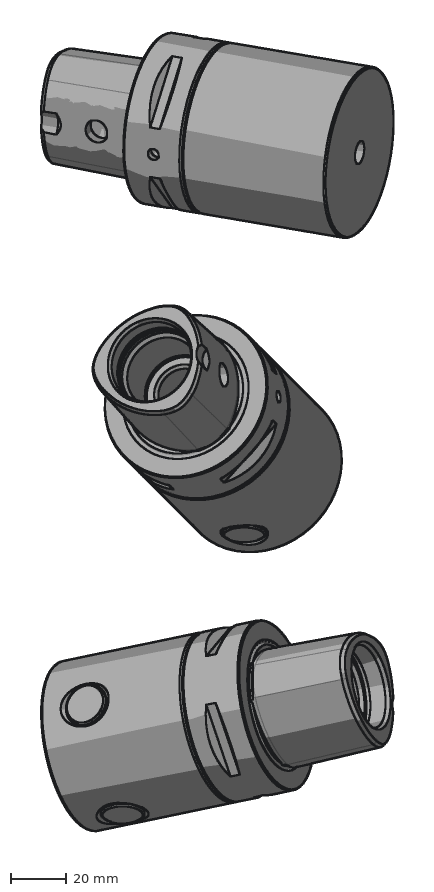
import cadquery as cq
import math

total_length = 118.0
flange_radius = 31.5

shank_length = 38.0
shank_root_x = shank_length + 1.2
taper_end_x = 36.1
shank_mean_radius = 22.1
lobe_swing = 3.0
lobe_height = lobe_swing / 2
taper_slope = 1 / 40
lobe_count = 3
lobe_half_angle = 28.0
nose_chamfer_length = 1.5
nose_chamfer_height = 1.0

neck_radius = 22.5
collar_radius = 22.3
collar_thickness = 0.4
relief_outer_radius = 24.3
relief_depth = 0.5

flange_chamfer_length = 0.6
flange_chamfer_height = 0.4
end_chamfer_length = 0.7
end_chamfer_height = 0.5
v_groove_x = 61.1
v_groove_half_width = 0.8
v_groove_depth = 0.5

bore_mouth_radius = 16.3
bore_mouth_depth = 1.5
bore_entry_radius = 15.3
ring_groove_start = 7.7
ring_groove_end = 9.7
ring_groove_radius = 16.3
land_chamfer = 0.2
land_end_depth = 12.0
bore_radius = 13.8
bore_neck_depth = 13.8
bore_floor_chamfer = 0.6
bore_depth = 33.0
inner_mouth_radius = 10.4
inner_hole_radius = 9.2
inner_hole_depth = 47.2
coolant_hole_radius = 4.2
inner_cone_half_angle = 59.0

slot_count = 4
slot_x = 50.0
slot_floor_radius = 28.1
slot_floor_width = 3.8
slot_side_angle = 30.0

wall_hole_x = 22.7
wall_hole_radius = 8.6 / 2
wall_hole_tip_y = -13.9
wall_hole_half_angle = 70.0
index_hole_radius = 2.1
index_hole_tip_y = -27.1
index_hole_half_angle = 59.0

notch_radius = 6.1
notch_floor_y = -17.9
notch_length = 6.5
notch_half_angle = 45.0

screw_x = 100.2
screw_radius = 8.0
screw_length = 18.9
screw_top_radius = 31.3
screw_bottom_radius = screw_top_radius - screw_length
screw_chamfer = 0.7
countersink_radius = 9.7
screw_angles = [-90, 180]


def revolved(points):
    """Solid swept by an (x, radius) outline turned around the tool axis."""
    outline = cq.Workplane("XZ").polyline(points).close()
    return outline.revolve(360, (0, 0, 0), (1, 0, 0))


def drilled(radius, depth_to_tip, half_angle):
    """Drill-shaped cutter pointing along +Y from the origin: a cylinder that ends in a cone."""
    straight = depth_to_tip - radius / math.tan(math.radians(half_angle))
    outline = cq.Workplane("XY").polyline([(0, 0), (radius, 0), (radius, straight), (0, depth_to_tip)])
    return outline.close().revolve(360, (0, 0, 0), (0, 1, 0))


def lobed_point(x, mean_radius, angle):
    """Point of the lobed outline whose outward normal has the given angle from +Y."""
    support = mean_radius + lobe_height * math.cos(lobe_count * angle)
    shift = -lobe_count * lobe_height * math.sin(lobe_count * angle)
    y = support * math.cos(angle) - shift * math.sin(angle)
    z = support * math.sin(angle) + shift * math.cos(angle)
    return cq.Vector(x, y, z)


def lobed_edge(x, mean_radius, start, end):
    """Smooth stretch of the lobed outline between two normal angles."""
    steps = 6
    angles = [start + (end - start) * i / steps for i in range(steps + 1)]
    tangents = [cq.Vector(0, -math.sin(a), math.cos(a)) for a in (start, end)]
    return cq.Edge.makeSpline([lobed_point(x, mean_radius, a) for a in angles], tangents=tangents)


def lobed_wire(x, mean_radius):
    """Closed outline of constant width: alternating lobes and flats, centred on the tool axis."""
    pitch = 2 * math.pi / lobe_count
    half = math.radians(lobe_half_angle)
    edges = []
    for i in range(lobe_count):
        lobe = i * pitch
        edges.append(lobed_edge(x, mean_radius, lobe - half, lobe + half))
        edges.append(lobed_edge(x, mean_radius, lobe + half, lobe + pitch - half))
    return cq.Wire.assembleEdges(edges)


def shank():
    nose_radius = shank_mean_radius - taper_slope * (taper_end_x - nose_chamfer_length)
    sections = [
        lobed_wire(0, nose_radius - nose_chamfer_height),
        lobed_wire(nose_chamfer_length, nose_radius),
        lobed_wire(taper_end_x, shank_mean_radius),
        lobed_wire(shank_root_x, shank_mean_radius),
    ]
    blank = cq.Workplane(obj=cq.Solid.makeLoft(sections, True))
    lobe_radius = shank_mean_radius + lobe_height
    shoulder_end_x = taper_end_x + lobe_radius - neck_radius
    return blank.intersect(revolved([
        (0, 0),
        (0, lobe_radius),
        (taper_end_x, lobe_radius),
        (shoulder_end_x, neck_radius),
        (shank_root_x, neck_radius),
        (shank_root_x, 0),
    ]))


def flange_and_body():
    """Turned body: collar, round relief groove in the flange face, V-groove and chamfered ends."""
    collar_front = shank_length - collar_thickness
    relief_bottom = (shank_length + relief_depth, (collar_radius + relief_outer_radius) / 2)
    outline = cq.Workplane("XZ").moveTo(collar_front, 0).lineTo(collar_front, collar_radius)
    outline = outline.threePointArc(relief_bottom, (shank_length, relief_outer_radius))
    for x, radius in [
        (shank_length, flange_radius - flange_chamfer_height),
        (shank_length + flange_chamfer_length, flange_radius),
        (v_groove_x - v_groove_half_width, flange_radius),
        (v_groove_x, flange_radius - v_groove_depth),
        (v_groove_x + v_groove_half_width, flange_radius),
        (total_length - end_chamfer_length, flange_radius),
        (total_length, flange_radius - end_chamfer_height),
        (total_length, 0),
    ]:
        outline = outline.lineTo(x, radius)
    return outline.close().revolve(360, (0, 0, 0), (1, 0, 0))


def stepped_bore():
    land_radius = bore_entry_radius - land_chamfer
    inner_mouth_depth = bore_depth + inner_mouth_radius - inner_hole_radius
    cone_length = (inner_hole_radius - coolant_hole_radius) / math.tan(math.radians(inner_cone_half_angle))
    return revolved([
        (0, 0),
        (0, bore_mouth_radius),
        (bore_mouth_depth, bore_entry_radius),
        (ring_groove_start, bore_entry_radius),
        (ring_groove_start, ring_groove_radius),
        (ring_groove_end, ring_groove_radius),
        (ring_groove_end, bore_entry_radius),
        (ring_groove_end + land_chamfer, land_radius),
        (land_end_depth, land_radius),
        (bore_neck_depth, bore_radius),
        (bore_depth - bore_floor_chamfer, bore_radius),
        (bore_depth, bore_radius - bore_floor_chamfer),
        (bore_depth, inner_mouth_radius),
        (inner_mouth_depth, inner_hole_radius),
        (inner_hole_depth, inner_hole_radius),
        (inner_hole_depth + cone_length, coolant_hole_radius),
        (total_length, coolant_hole_radius),
        (total_length, 0),
    ])


def gripper_slot(angle):
    """Trapezoidal cutter with a flat floor, square to the radius at the given angle around X."""
    depth = flange_radius - slot_floor_radius
    half_floor = slot_floor_width / 2
    half_top = half_floor + depth * math.tan(math.radians(slot_side_angle))
    outline = cq.Workplane("XZ").polyline([
        (slot_x - half_floor, slot_floor_radius),
        (slot_x + half_floor, slot_floor_radius),
        (slot_x + half_top, flange_radius),
        (slot_x - half_top, flange_radius),
    ])
    slot = outline.close().extrude(flange_radius, both=True)
    return slot.rotate((0, 0, 0), (1, 0, 0), angle)


def side_hole(x, radius, tip_y, half_angle):
    """Blind drilled hole from the -Y side."""
    drill = drilled(radius, tip_y + flange_radius, half_angle)
    return drill.translate((x, -flange_radius, 0))


def end_notch():
    """Cutter along +X whose axis lies outside the shank, so that it leaves a shallow round notch."""
    cone_length = notch_radius / math.tan(math.radians(notch_half_angle))
    drill = drilled(notch_radius, notch_length + cone_length, notch_half_angle)
    turned = drill.rotate((0, 0, 0), (0, 0, 1), -90)
    return turned.translate((0, notch_floor_y - notch_radius, 0))


def make_screw(angle):
    """Screw with a flat chamfered top facing outward at the given angle around X."""
    blank = cq.Workplane("XY", origin=(screw_x, 0, screw_bottom_radius))
    blank = blank.circle(screw_radius).extrude(screw_length)
    screw = blank.faces(">Z").chamfer(screw_chamfer)
    return screw.rotate((0, 0, 0), (1, 0, 0), angle)


def screw_hole(angle):
    """Blind hole that fits the screw, with a 45 degree countersink at the body's surface."""
    sink_start = flange_radius - (countersink_radius - screw_radius)
    outline = cq.Workplane("XZ").polyline([
        (0, screw_bottom_radius),
        (screw_radius, screw_bottom_radius),
        (screw_radius, sink_start),
        (countersink_radius, flange_radius),
        (0, flange_radius),
    ])
    hole = outline.close().revolve(360, (0, 0, 0), (0, 1, 0)).translate((screw_x, 0, 0))
    return hole.rotate((0, 0, 0), (1, 0, 0), angle)


def make_holder():
    holder = flange_and_body().union(shank()).cut(stepped_bore())
    for i in range(slot_count):
        holder = holder.cut(gripper_slot((i + 0.5) * 360 / slot_count))
    holder = holder.cut(side_hole(wall_hole_x, wall_hole_radius, wall_hole_tip_y, wall_hole_half_angle))
    holder = holder.cut(side_hole(slot_x, index_hole_radius, index_hole_tip_y, index_hole_half_angle))
    holder = holder.cut(end_notch())
    for angle in screw_angles:
        holder = holder.cut(screw_hole(angle))
    return holder


holder = make_holder()
screws = [make_screw(angle) for angle in screw_angles]
result = cq.Compound.makeCompound([holder.val(), *[screw.val() for screw in screws]])